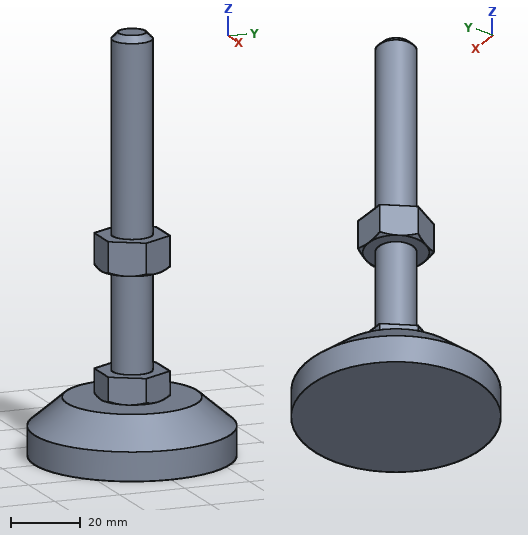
import cadquery as cq
import math

total_height = 125.0
foot_diameter = 60.0
foot_top_diameter = 40.0
foot_rim_height = 8.8
foot_height = 17.2

rod_diameter = 12.0
rod_tip_diameter = 8.1
rod_chamfer = (rod_diameter - rod_tip_diameter) / 2

across_flats = 19.0
across_corners = across_flats / math.cos(math.pi / 6)
hex_chamfer_angle = 30.0
spindle_hex_height = 8.0
lock_nut_height = 10.0
lock_nut_gap = 30.0

spindle_hex_top = foot_height + spindle_hex_height
lock_nut_bottom = spindle_hex_top + lock_nut_gap


def make_hexagon(bottom, height):
    """Hexagonal prism with corners on X and a conical chamfer on its lower corners."""
    prism = cq.Workplane("XY").workplane(offset=bottom).polygon(6, across_corners).extrude(height)
    inner_radius = across_flats / 2
    outer_radius = across_corners / 2
    chamfer_height = (outer_radius - inner_radius) * math.tan(math.radians(hex_chamfer_angle))
    envelope = (
        cq.Workplane("XZ")
        .moveTo(0, bottom)
        .lineTo(inner_radius, bottom)
        .lineTo(outer_radius, bottom + chamfer_height)
        .lineTo(outer_radius, bottom + height)
        .lineTo(0, bottom + height)
        .close()
        .revolve(360, (0, 0), (0, 1))
    )
    return prism.intersect(envelope)


def make_foot():
    """Round foot: a cylindrical rim below a conical shoulder with a flat top."""
    return (
        cq.Workplane("XZ")
        .moveTo(0, 0)
        .lineTo(foot_diameter / 2, 0)
        .lineTo(foot_diameter / 2, foot_rim_height)
        .lineTo(foot_top_diameter / 2, foot_height)
        .lineTo(0, foot_height)
        .close()
        .revolve(360, (0, 0), (0, 1))
    )


def make_spindle():
    """Chamfered rod with its integral hexagon resting on the foot."""
    rod = (
        cq.Workplane("XY")
        .workplane(offset=foot_height)
        .circle(rod_diameter / 2)
        .extrude(total_height - foot_height)
        .faces(">Z")
        .chamfer(rod_chamfer)
    )
    return rod.union(make_hexagon(foot_height, spindle_hex_height))


def make_lock_nut():
    """Hexagonal nut whose bore fits the spindle rod."""
    bore = (
        cq.Workplane("XY")
        .workplane(offset=lock_nut_bottom)
        .circle(rod_diameter / 2)
        .extrude(lock_nut_height)
    )
    return make_hexagon(lock_nut_bottom, lock_nut_height).cut(bore)


foot = make_foot()
spindle = make_spindle()
lock_nut = make_lock_nut()

bodies = [foot, spindle, lock_nut]
result = cq.Compound.makeCompound([body.solids().val() for body in bodies])